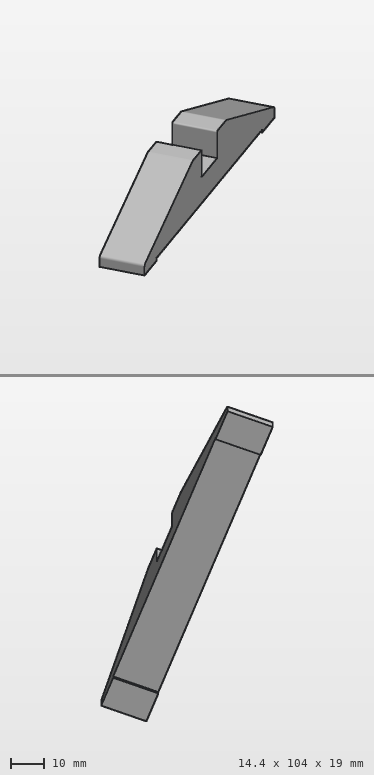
import cadquery as cq

length = 104.0
width = 14.4
height = 19.0

end_height = 3.6
crown_half_length = 13.4

slot_width = 12.3
slot_depth = 9.2
foot_length = 9.9
relief_height = 0.9

end_radius = 1.0
crown_radius = 2.1
slot_mouth_radius = 0.5


def make_body():
    """Trapezoidal bridge profile in the YZ plane, extruded along X."""
    half_length = length / 2
    outline = [
        (-half_length, 0),
        (half_length, 0),
        (half_length, end_height),
        (crown_half_length, height),
        (-crown_half_length, height),
        (-half_length, end_height),
    ]
    return cq.Workplane("YZ").polyline(outline).close().extrude(width / 2, both=True)


def cross_channel(channel_width, channel_depth, bottom):
    """Block that cuts a centred channel through the full width."""
    return (
        cq.Workplane("XY")
        .workplane(offset=bottom)
        .rect(width, channel_width)
        .extrude(channel_depth)
    )


def round_edge_pair(body, y, z, radius):
    """Round the two mirrored edges along X at (+y, z) and (-y, z)."""
    for side in (-1, 1):
        edge = cq.selectors.NearestToPointSelector((0, side * y, z))
        body = body.edges("|X").edges(edge).fillet(radius)
    return body


body = make_body()
body = body.cut(cross_channel(slot_width, slot_depth, height - slot_depth))
body = body.cut(cross_channel(length - 2 * foot_length, relief_height, 0))

body = round_edge_pair(body, length / 2, end_height, end_radius)
body = round_edge_pair(body, crown_half_length, height, crown_radius)
result = round_edge_pair(body, slot_width / 2, height, slot_mouth_radius)